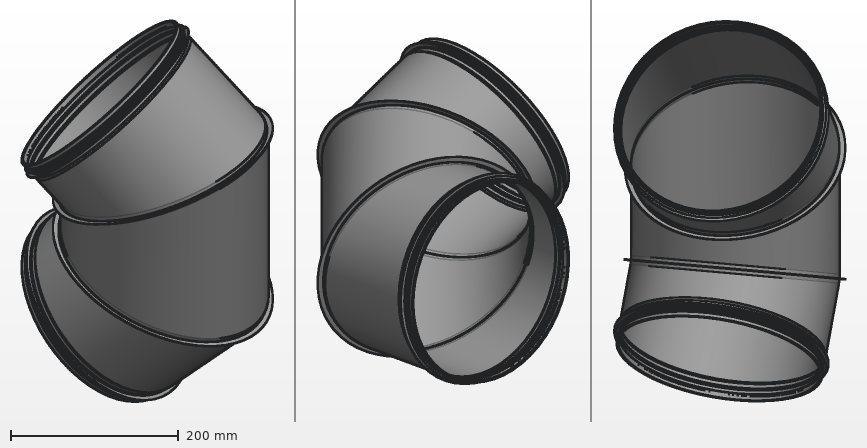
import cadquery as cq
import math


seam_angle = 22.5
end_angle = 2 * seam_angle
seam_height = 72.0
rim_height = 155.0

sheet = 0.5
tube_r = 249.0 / 2

collar_length = 5.5
flange_across = 263.0

spigot_r = 245.0 / 2
hem_depth = 6.0
taper_start = 21.5
taper_end = 24.5
groove_start = 8.5
groove_end = 13.0

sleeve_r = 123.5
sleeve_end = 16.0
lip_thickness = 1.0
small_lip_r = 254.5 / 2
small_lip_depth = 9.0
large_lip_r = 259.5 / 2
large_lip_depth = 14.0

tilt_sin = math.sin(math.radians(seam_angle))
tilt_cos = math.cos(math.radians(seam_angle))
end_sin = math.sin(math.radians(end_angle))
end_cos = math.cos(math.radians(end_angle))

bore_r = tube_r - sheet
spigot_bore_r = spigot_r - sheet
groove_r = spigot_r - sheet
groove_bore_r = groove_r - sheet
hem_inner_r = tube_r - sheet
flange_width = flange_across / 2 - tube_r

seam_x = seam_height / math.tan(math.radians(seam_angle))
seam_plane = cq.Plane(
    origin=(seam_x, 0, seam_height),
    xDir=(tilt_cos, 0, tilt_sin),
    normal=(-tilt_sin, 0, tilt_cos),
)

collar_dx = collar_length * tilt_sin
collar_dz = collar_length * tilt_cos
middle_axis_x = seam_x + collar_dx
end_rise = rim_height - seam_height - collar_dz
end_length = end_rise / end_cos
rim_x = seam_x - collar_dx - end_length * end_sin
rim_plane = cq.Plane(
    origin=(rim_x, 0, rim_height),
    xDir=(end_cos, 0, end_sin),
    normal=(-end_sin, 0, end_cos),
)

block_size = 973
tube_overrun = 97.5


def mirror_down(body):
    """Copy of a body reflected through the horizontal plane of symmetry."""
    return body.mirror("XY")


def ellipse_ring(outer_r, inner_r, margin, length):
    """Ring between the mitred sections of two tubes, the outer one widened by a margin."""
    seam = cq.Workplane(seam_plane)
    outer = seam.ellipse(outer_r / tilt_cos + margin, outer_r + margin).extrude(length)
    inner = seam.ellipse(inner_r / tilt_cos, inner_r).extrude(length)
    return outer.cut(inner)


def seam_edge(side):
    """Collar and flange on one side of the upper seam: side is 1 above it, -1 below it."""
    collar = ellipse_ring(tube_r, bore_r, 0, side * collar_length)
    flange = ellipse_ring(tube_r, bore_r, flange_width, side * sheet)
    return collar.union(flange)


def seam_side_block(side):
    """Block that fills everything on the seam side of one collar end of the upper seam."""
    collar_end = cq.Workplane(seam_plane).workplane(offset=side * collar_length)
    return collar_end.rect(block_size, block_size).extrude(-side * block_size)


def revolve_from_rim(profile):
    """Revolve (radius, depth) points about the axis of the upper end segment."""
    points = [(radius, -depth) for radius, depth in profile]
    section = cq.Plane(origin=rim_plane.origin, xDir=rim_plane.xDir, normal=(0, -1, 0))
    return cq.Workplane(section).polyline(points).close().revolve(360, (0, 0), (0, 1))


def make_middle_segment():
    tube = (
        cq.Workplane("XY")
        .center(middle_axis_x, 0)
        .circle(tube_r)
        .circle(bore_r)
        .extrude(block_size / 2, both=True)
    )
    upper_trim = seam_side_block(-1)
    upper_edge = seam_edge(-1)
    tube = tube.cut(upper_trim).cut(mirror_down(upper_trim))
    return tube.union(upper_edge).union(mirror_down(upper_edge))


def make_end_segment():
    tube_end = end_length + tube_r + tube_overrun
    outside = [
        (tube_r, tube_end),
        (tube_r, taper_end),
        (spigot_r, taper_start),
        (spigot_r, groove_end),
        (groove_r, groove_end),
        (groove_r, groove_start),
        (spigot_r, groove_start),
        (spigot_r, sheet),
    ]
    hem = [
        (hem_inner_r, sheet),
        (hem_inner_r, hem_depth),
        (tube_r, hem_depth),
        (tube_r, 0),
    ]
    inside = [
        (spigot_bore_r, 0),
        (spigot_bore_r, groove_start - sheet),
        (groove_bore_r, groove_start - sheet),
        (groove_bore_r, groove_end + sheet),
        (spigot_bore_r, groove_end + sheet),
        (spigot_bore_r, taper_start),
        (bore_r, taper_end),
        (bore_r, tube_end),
    ]
    tube = revolve_from_rim(outside + hem + inside)
    return tube.cut(seam_side_block(1)).union(seam_edge(1))


def lip(radius, depth):
    """Outline of one thin sealing lip standing out from the gasket sleeve."""
    return [
        (sleeve_r, depth),
        (radius, depth),
        (radius, depth + lip_thickness),
        (sleeve_r, depth + lip_thickness),
    ]


def make_gasket():
    tucked_edge = [
        (spigot_r, sheet),
        (hem_inner_r, sheet),
        (hem_inner_r, hem_depth),
        (sleeve_r, hem_depth),
    ]
    lips = lip(small_lip_r, small_lip_depth) + lip(large_lip_r, large_lip_depth)
    seat = [
        (sleeve_r, sleeve_end),
        (spigot_r, sleeve_end),
        (spigot_r, groove_end),
        (groove_r, groove_end),
        (groove_r, groove_start),
        (spigot_r, groove_start),
    ]
    return revolve_from_rim(tucked_edge + lips + seat)


middle_segment = make_middle_segment()
upper_end_segment = make_end_segment()
upper_gasket = make_gasket()

bodies = [middle_segment.solids().val()]
for upper_body in (upper_end_segment, upper_gasket):
    bodies.append(upper_body.solids().val())
    bodies.append(mirror_down(upper_body).solids().val())

result = cq.Compound.makeCompound(bodies)